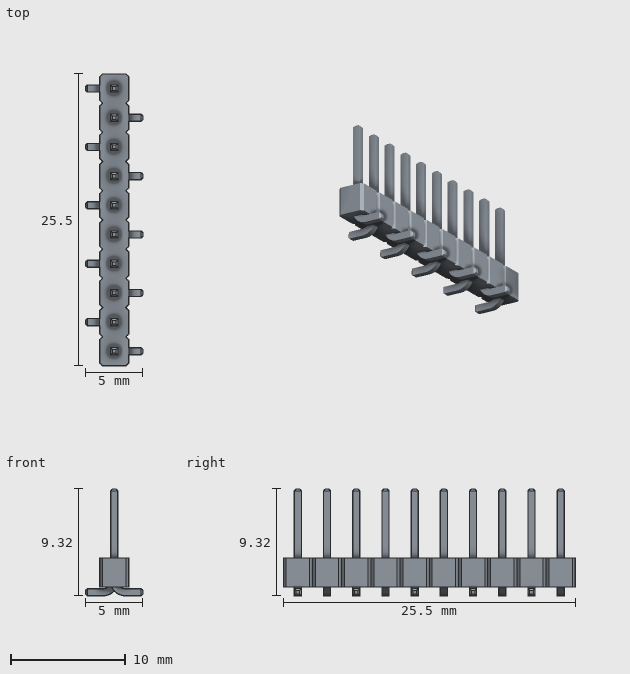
import cadquery as cq
import math

pin_count = 10
pitch = 2.55
housing_width = 2.55
housing_height = 2.55
corner_cut = 0.25

pin_size = 0.64
pin_height = 6.0
tip_chamfer = 0.16
standoff = 0.13
foot_span = 5.0
bend_inner_radius = 0.64

row_length = pin_count * pitch
half_pin = pin_size / 2
foot_reach = foot_span / 2
pin_top = housing_height + pin_height
foot_top = -standoff
foot_bottom = foot_top - pin_size
bend_outer_radius = bend_inner_radius + pin_size
bend_x = half_pin + bend_inner_radius
bend_z = foot_top + bend_inner_radius


def on_bend(radius):
    """Midpoint of the quarter bend at the given radius."""
    offset = radius * math.sqrt(0.5)
    return (bend_x - offset, bend_z - offset)


def make_cell(y):
    """One chamfered housing block centred at y."""
    return (
        cq.Workplane("XY")
        .center(0, y)
        .rect(housing_width, pitch)
        .extrude(housing_height)
        .edges("|Z")
        .chamfer(corner_cut)
    )


def make_pin():
    """L-shaped square pin at the origin with its foot pointing to +X."""
    return (
        cq.Workplane("XZ")
        .moveTo(-half_pin, pin_top)
        .lineTo(-half_pin, bend_z)
        .threePointArc(on_bend(bend_outer_radius), (bend_x, foot_bottom))
        .lineTo(foot_reach, foot_bottom)
        .lineTo(foot_reach, foot_top)
        .lineTo(bend_x, foot_top)
        .threePointArc(on_bend(bend_inner_radius), (half_pin, bend_z))
        .lineTo(half_pin, pin_top)
        .close()
        .extrude(half_pin, both=True)
        .faces(">Z or >X")
        .chamfer(tip_chamfer)
    )


right_pin = make_pin()
left_pin = right_pin.rotate((0, 0, 0), (0, 0, 1), 180)

result = cq.Workplane("XY")
for index in range(pin_count):
    cell_y = (index + 0.5) * pitch - row_length / 2
    pin = right_pin if index % 2 == 0 else left_pin
    result = result.union(make_cell(cell_y)).union(pin.translate((0, cell_y, 0)))